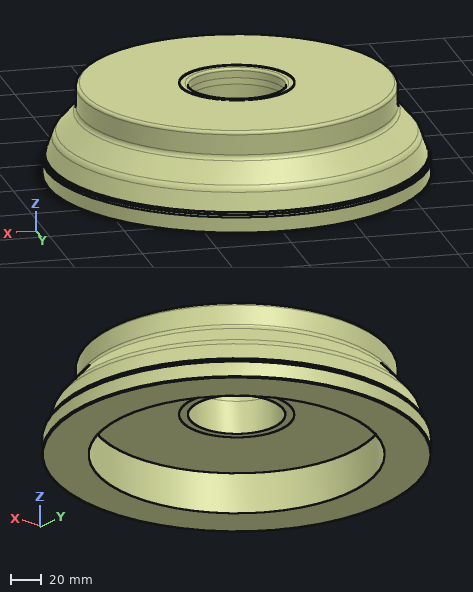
import cadquery as cq

height = 63.0
rim_radius = 127.0
rim_height = 12.7
rim_chamfer_width = 0.5
rim_lower_chamfer = 0.8
rim_upper_chamfer = 1.5

foot_radius = 125.2
foot_top = 14.2
flare_start = (121.0, 26.5)
flare_middle = (120.0, 28.7)
flare_end = (118.4, 30.5)
cone_end = (106.7, 43.5)
neck_blend_middle = (105.5, 45.2)
neck_radius = 105.2
neck_bottom = 47.0
top_edge = 2.3

bushing_radius = 37.5
bushing_drop = 0.5
bore_radius = 31.8
mouth_radius = 32.0
mouth_depth = 7.0
taper_end_depth = 11.5
bore_round = 1.8
bushing_bottom = 28.5

cup_radius = 96.5
cup_depth = bushing_bottom


def make_wheel():
    """Flared cup wheel with a rim, revolved about Z, and a seat for the bushing."""
    profile = (
        cq.Workplane("XZ")
        .moveTo(0, 0)
        .lineTo(rim_radius - rim_chamfer_width, 0)
        .lineTo(rim_radius, rim_lower_chamfer)
        .lineTo(rim_radius, rim_height - rim_upper_chamfer)
        .lineTo(rim_radius - rim_chamfer_width, rim_height)
        .lineTo(foot_radius, rim_height)
        .lineTo(foot_radius, foot_top)
        .lineTo(*flare_start)
        .threePointArc(flare_middle, flare_end)
        .lineTo(*cone_end)
        .threePointArc(neck_blend_middle, (neck_radius, neck_bottom))
        .lineTo(neck_radius, height - top_edge)
        .radiusArc((neck_radius - top_edge, height), -top_edge)
        .lineTo(0, height)
        .close()
    )
    body = profile.revolve(360, (0, 0), (0, 1))
    cup = cq.Workplane("XY").circle(cup_radius).extrude(cup_depth)
    seat = cq.Workplane("XY").circle(bushing_radius).extrude(height)
    return body.cut(cup).cut(seat)


def make_bushing():
    """Tube with a rounded mouth that tapers slightly into the bore, revolved about Z."""
    top = height - bushing_drop
    profile = (
        cq.Workplane("XZ")
        .moveTo(bore_radius, bushing_bottom)
        .lineTo(bushing_radius, bushing_bottom)
        .lineTo(bushing_radius, top)
        .lineTo(mouth_radius + bore_round, top)
        .radiusArc((mouth_radius, top - bore_round), -bore_round)
        .lineTo(mouth_radius, height - mouth_depth)
        .lineTo(bore_radius, height - taper_end_depth)
        .close()
    )
    return profile.revolve(360, (0, 0), (0, 1))


wheel = make_wheel()
bushing = make_bushing()
result = cq.Compound.makeCompound([wheel.val(), bushing.val()])